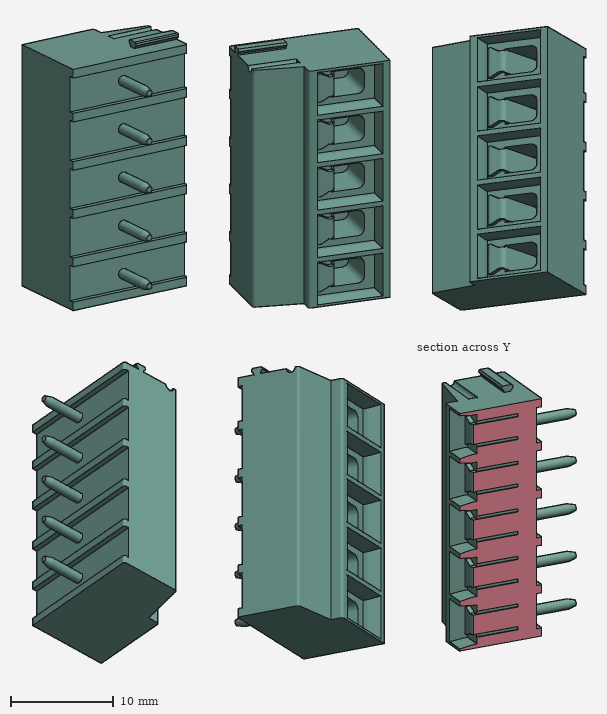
import cadquery as cq
import math

POLES = 5
TOTAL_HEIGHT = 25.68
HOUSING_HEIGHT = 24.99
PITCH = HOUSING_HEIGHT / POLES
HOUSING_DEPTH = 13.5
FOOT_PLANE_X = 9.01
FOOT_HEIGHT = 0.55
FOOT_WIDTH = 0.9
BACK_X = FOOT_PLANE_X - FOOT_HEIGHT

STEP_Y = 8.47
NOSE_ROOT_X = 1.34
NOSE_TIP_X = 2.15
CORNER_RADIUS = 0.25

RAIL_TOTAL_HEIGHT = TOTAL_HEIGHT - HOUSING_HEIGHT
RAIL_LEFT_X = 6.21
RAIL_RIGHT_X = 7.42
RAIL_NECK_LEFT_X = 6.45
RAIL_NECK_RIGHT_X = 7.15
RAIL_LEFT_FLARE = 0.44
RAIL_NECK_HEIGHT = 0.15
RAIL_RIGHT_FLARE = 0.35
RAIL_CROWN_WIDTH = 0.1
RAIL_CROWN_RADIUS = 0.35
RAIL_BEVEL_WIDTH = 0.18
RAIL_BEVEL_HEIGHT = 0.1
GROOVE_RADIUS = 0.5
GROOVE_X = 3.05

PIN_DIAMETER = 1.05
PIN_TIP_DIAMETER = 0.62
PIN_Y = 6.25
PIN_SHOULDER_X = 12.3
PIN_END_X = 13.1

RECESS_MIN_Y = 0.75
RECESS_MAX_Y = 7.55
RECESS_HEIGHT = 4.5
RECESS_INSET = 0.2
TAPER_DEPTH = 1.34
RECESS_DEPTH = 1.87

POCKET_MIN_Y = 1.98
POCKET_MAX_Y = 5.45
POCKET_HEIGHT = 2.67
POCKET_CORNER_RADIUS = 0.72
POCKET_DEPTH = 6.37

GUIDE_FACE_X = 1.35
GUIDE_MAX_Y = 7.25
GUIDE_HEEL_RADIUS = RECESS_DEPTH - GUIDE_FACE_X
GUIDE_LIP_Y = 5.73
GUIDE_LIP_RADIUS = 0.55
GUIDE_NECK_Y = 5.88
RAMP_START_Y = 5.37
RAMP_ANGLE = 77
GUIDE_HEEL_WIDTH = 2.98
GUIDE_NECK_WIDTH = 2.1
RAMP_WIDTH = 2.3


def box_between(x0, x1, y0, y1, z0, z1):
    return cq.Workplane("XY").box(x1 - x0, y1 - y0, z1 - z0, centered=False).translate((x0, y0, z0))


def make_housing():
    outline = [
        (0, 0), (FOOT_PLANE_X, 0), (FOOT_PLANE_X, HOUSING_DEPTH),
        (NOSE_TIP_X, HOUSING_DEPTH), (NOSE_ROOT_X, STEP_Y), (0, STEP_Y),
    ]
    body = cq.Workplane("XY").polyline(outline).close().extrude(HOUSING_HEIGHT)
    for corner in ((0, STEP_Y), (NOSE_TIP_X, HOUSING_DEPTH), (FOOT_PLANE_X, HOUSING_DEPTH)):
        nearest = cq.selectors.NearestToPointSelector((*corner, HOUSING_HEIGHT / 2))
        body = body.edges("|Z").edges(nearest).fillet(CORNER_RADIUS)
    return body


def make_foot_gap(center_z):
    """Space between neighbouring feet at one pole; the end feet lie fully inside the housing."""
    reach = (PITCH - FOOT_WIDTH) / 2
    bottom = max(center_z - reach, FOOT_WIDTH)
    top = min(center_z + reach, HOUSING_HEIGHT - FOOT_WIDTH)
    return box_between(BACK_X, FOOT_PLANE_X, 0, HOUSING_DEPTH, bottom, top)


def make_rail():
    base = HOUSING_HEIGHT
    top = base + RAIL_TOTAL_HEIGHT
    return (
        cq.Workplane("XZ", origin=(0, HOUSING_DEPTH, 0))
        .moveTo(RAIL_NECK_LEFT_X, base)
        .lineTo(RAIL_NECK_LEFT_X, base + RAIL_NECK_HEIGHT)
        .lineTo(RAIL_LEFT_X, base + RAIL_LEFT_FLARE)
        .radiusArc((RAIL_LEFT_X + RAIL_CROWN_WIDTH, top), RAIL_CROWN_RADIUS)
        .lineTo(RAIL_RIGHT_X - RAIL_BEVEL_WIDTH, top)
        .lineTo(RAIL_RIGHT_X, top - RAIL_BEVEL_HEIGHT)
        .lineTo(RAIL_RIGHT_X, base + RAIL_RIGHT_FLARE)
        .lineTo(RAIL_NECK_RIGHT_X, base)
        .close()
        .extrude(HOUSING_DEPTH - STEP_Y)
    )


def make_groove():
    return (
        cq.Workplane("XZ", origin=(GROOVE_X, HOUSING_DEPTH, HOUSING_HEIGHT))
        .circle(GROOVE_RADIUS)
        .extrude(HOUSING_DEPTH - STEP_Y)
    )


def make_recess(center_z):
    """Tapered mouth followed by a straight-walled well."""
    length = RECESS_MAX_Y - RECESS_MIN_Y
    center = (0, (RECESS_MIN_Y + RECESS_MAX_Y) / 2, center_z)
    inner_length = length - 2 * RECESS_INSET
    inner_height = RECESS_HEIGHT - 2 * RECESS_INSET
    mouth = (
        cq.Workplane("YZ", origin=center)
        .rect(length, RECESS_HEIGHT)
        .workplane(offset=TAPER_DEPTH)
        .rect(inner_length, inner_height)
        .loft(ruled=True)
    )
    well = cq.Workplane("YZ", origin=center).rect(inner_length, inner_height).extrude(RECESS_DEPTH)
    return mouth.union(well)


def make_pocket(center_z):
    half_height = POCKET_HEIGHT / 2
    pocket = box_between(
        0, POCKET_DEPTH, POCKET_MIN_Y, POCKET_MAX_Y, center_z - half_height, center_z + half_height
    )
    pocket = pocket.edges("|X and <Y").fillet(POCKET_CORNER_RADIUS)
    return pocket.intersect(box_between(RECESS_DEPTH, BACK_X, 0, STEP_Y, 0, HOUSING_HEIGHT))


def make_guide(center_z):
    """Guide block with rounded heel and lip, plus the ramp into the pocket."""
    angle = math.radians(RAMP_ANGLE)
    half_angle = angle / 2
    lip_middle = (
        GUIDE_FACE_X + GUIDE_LIP_RADIUS * (1 - math.cos(half_angle)),
        GUIDE_LIP_Y - GUIDE_LIP_RADIUS * math.sin(half_angle),
    )
    ramp_top = (
        GUIDE_FACE_X + GUIDE_LIP_RADIUS * (1 - math.cos(angle)),
        GUIDE_LIP_Y - GUIDE_LIP_RADIUS * math.sin(angle),
    )
    ramp_foot = (POCKET_DEPTH, ramp_top[1] - (POCKET_DEPTH - ramp_top[0]) / math.tan(angle))
    heel_end_y = GUIDE_MAX_Y - GUIDE_HEEL_RADIUS
    heel_middle = (
        RECESS_DEPTH - GUIDE_HEEL_RADIUS * math.sin(math.pi / 4),
        heel_end_y + GUIDE_HEEL_RADIUS * math.cos(math.pi / 4),
    )
    profile = (
        cq.Workplane("XY")
        .moveTo(RECESS_DEPTH, GUIDE_MAX_Y)
        .threePointArc(heel_middle, (GUIDE_FACE_X, heel_end_y))
        .lineTo(GUIDE_FACE_X, GUIDE_LIP_Y)
        .threePointArc(lip_middle, ramp_top)
        .lineTo(*ramp_foot)
        .lineTo(POCKET_DEPTH, GUIDE_MAX_Y)
        .close()
        .extrude(PITCH)
        .translate((0, 0, center_z - PITCH / 2))
    )
    half_heel = GUIDE_HEEL_WIDTH / 2
    half_neck = GUIDE_NECK_WIDTH / 2
    half_ramp = RAMP_WIDTH / 2
    upper_side = [
        (GUIDE_MAX_Y, half_heel), (heel_end_y, half_heel), (GUIDE_NECK_Y, half_neck),
        (RAMP_START_Y, half_neck), (RAMP_START_Y, half_ramp), (0, half_ramp),
    ]
    lower_side = [(y, -z) for y, z in reversed(upper_side)]
    footprint = (
        cq.Workplane("YZ", origin=(0, 0, center_z))
        .polyline(upper_side + lower_side)
        .close()
        .extrude(POCKET_DEPTH)
    )
    return profile.intersect(footprint)


def make_pin(center_z):
    shaft = (
        cq.Workplane("YZ", origin=(BACK_X, PIN_Y, center_z))
        .circle(PIN_DIAMETER / 2)
        .extrude(PIN_SHOULDER_X - BACK_X)
    )
    tip = (
        cq.Workplane("YZ", origin=(PIN_SHOULDER_X, PIN_Y, center_z))
        .circle(PIN_DIAMETER / 2)
        .workplane(offset=PIN_END_X - PIN_SHOULDER_X)
        .circle(PIN_TIP_DIAMETER / 2)
        .loft(ruled=True)
    )
    return shaft.union(tip)


result = make_housing().cut(make_groove()).union(make_rail())
for pole in range(POLES):
    pole_z = (pole + 0.5) * PITCH
    result = result.cut(make_foot_gap(pole_z))
    result = result.cut(make_recess(pole_z)).cut(make_pocket(pole_z))
    result = result.union(make_guide(pole_z)).union(make_pin(pole_z))